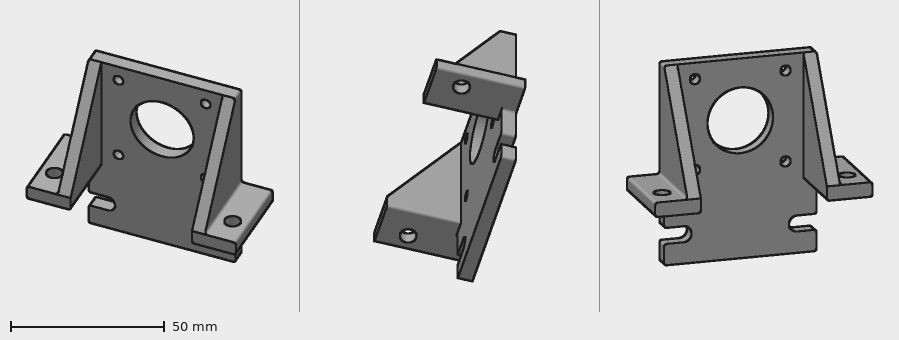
import cadquery as cq

overall_width = 74.3
overall_depth = 30.0
overall_height = 68.1

thickness = 5.0
plate_width = 52.15
gusset_gap = 43.1
flange_bottom = 24.9
flange_top = flange_bottom + thickness
edge_radius = 1.0

bore_diameter = 22.4
bore_height = 47.0
screw_diameter = 3.4
screw_pitch = 31.0

slot_width = 5.4
slot_height = 10.0
slot_end_spacing = 38.8
flange_hole_diameter = 5.4
flange_hole_spacing = 63.2
flange_hole_from_front = 9.95


def block(x_min, x_max, depth, z_min, z_max):
    """Box reaching forward from the back face by the given depth."""
    return (
        cq.Workplane("XY")
        .box(x_max - x_min, depth, z_max - z_min, centered=False)
        .translate((x_min, -depth, z_min))
    )


def make_plate():
    """Upright plate with the flange roots and two side slots, rounded at its outer corners."""
    half_plate = plate_width / 2
    half_overall = overall_width / 2
    plate = block(-half_plate, half_plate, thickness, 0, overall_height)
    plate = plate.union(block(-half_overall, half_overall, thickness, flange_bottom, flange_top))

    slot_length = overall_width - slot_end_spacing
    slots = (
        cq.Workplane("XZ")
        .pushPoints([(-half_overall, slot_height), (half_overall, slot_height)])
        .slot2D(slot_length + slot_width, slot_width)
        .extrude(thickness)
    )
    plate = plate.cut(slots)

    outer_edges = plate.edges("|Y").filter(lambda edge: abs(edge.Center().x) > half_plate - edge_radius)
    return outer_edges.fillet(edge_radius)


def make_left_bracket():
    """Triangular gusset joined to a horizontal flange."""
    inner_x = -gusset_gap / 2
    gusset = block(-plate_width / 2, inner_x, overall_depth, flange_bottom, overall_height)
    flange = block(-overall_width / 2, inner_x, overall_depth, flange_bottom, flange_top)
    bracket = gusset.union(flange)
    bracket = bracket.edges("|Y").edges("not (>Z and >X)").fillet(edge_radius)

    side_outline = (
        cq.Workplane("YZ")
        .polyline([
            (-thickness, flange_bottom),
            (-overall_depth, flange_bottom),
            (-overall_depth, flange_top),
            (-thickness, overall_height),
        ])
        .close()
        .extrude(-overall_width / 2)
    )
    return bracket.intersect(side_outline)


def make_plate_holes():
    """Motor bore and the four screw holes around it."""
    pattern = cq.Workplane("XZ").center(0, bore_height)
    bore = pattern.circle(bore_diameter / 2).extrude(thickness)
    screws = (
        pattern.rect(screw_pitch, screw_pitch, forConstruction=True)
        .vertices()
        .circle(screw_diameter / 2)
        .extrude(thickness)
    )
    return bore.union(screws)


def make_flange_holes():
    """One vertical through hole in each flange."""
    hole_x = flange_hole_spacing / 2
    hole_y = flange_hole_from_front - overall_depth
    return (
        cq.Workplane("XY")
        .workplane(offset=flange_bottom)
        .pushPoints([(-hole_x, hole_y), (hole_x, hole_y)])
        .circle(flange_hole_diameter / 2)
        .extrude(thickness)
    )


left_bracket = make_left_bracket()
right_bracket = left_bracket.mirror("YZ")
body = make_plate().union(left_bracket).union(right_bracket)
result = body.cut(make_plate_holes()).cut(make_flange_holes())